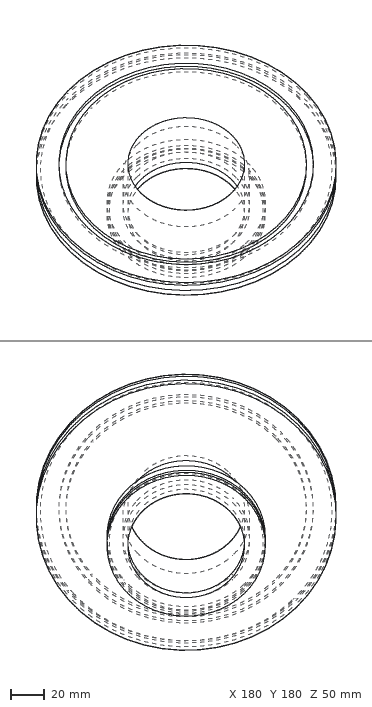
import cadquery as cq

total_height = 50.0
flange_thickness = 12.5
bore_diameter = 70.0
tube_diameter = 76.1
rim_groove_offset = 5.2

upper_diameter = 180.0
upper_groove_radius = 2.5
face_groove_outer_diameter = 152.6
face_groove_inner_diameter = 144.4
face_groove_depth = 3.0

lower_diameter = 95.0
lower_groove_radius = 1.35
socket_floor = 6.1


def disc(diameter, bottom, top):
    """Solid cylinder on the Z axis between two heights."""
    return cq.Workplane("XY").workplane(offset=bottom).circle(diameter / 2).extrude(top - bottom)


def rim_groove(diameter, height, radius):
    """Ring that cuts a semicircular groove around a rim."""
    return (
        cq.Workplane("XZ")
        .center(diameter / 2, height)
        .circle(radius)
        .revolve(360, (-diameter / 2, 0), (-diameter / 2, 1))
    )


def face_groove():
    """Flat-bottomed ring groove in the upper face."""
    floor = total_height - face_groove_depth
    outer = disc(face_groove_outer_diameter, floor, total_height)
    return outer.cut(disc(face_groove_inner_diameter, floor, total_height))


def make_upper_flange():
    """Large flange with the tube below it, bored through."""
    flange = disc(upper_diameter, total_height - flange_thickness, total_height)
    body = flange.union(disc(tube_diameter, socket_floor, total_height))
    body = body.cut(disc(bore_diameter, socket_floor, total_height))
    body = body.cut(rim_groove(upper_diameter, total_height - rim_groove_offset, upper_groove_radius))
    return body.cut(face_groove())


def make_lower_flange():
    """Small flange with a through bore and a socket for the tube end."""
    body = disc(lower_diameter, 0, flange_thickness)
    body = body.cut(disc(bore_diameter, 0, flange_thickness))
    body = body.cut(disc(tube_diameter, socket_floor, flange_thickness))
    return body.cut(rim_groove(lower_diameter, rim_groove_offset, lower_groove_radius))


upper_flange = make_upper_flange()
lower_flange = make_lower_flange()

result = cq.Compound.makeCompound([upper_flange.val(), lower_flange.val()])